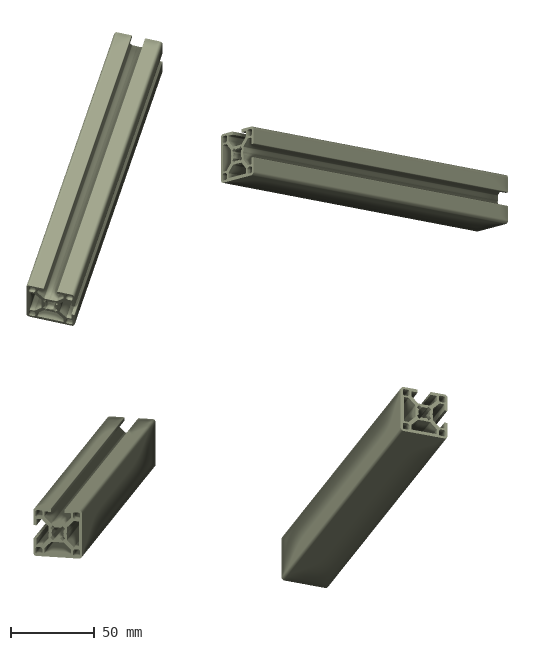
import cadquery as cq
import math

SIDE = 30.0
LENGTH = 200.0
CORNER_RADIUS = 2.0

WALL = 2.0
CHAMBER_HALF_WIDTH = 8.2
CHAMBER_FLOOR_WIDTH = 7.8
CHAMBER_CORNER_RADIUS = 0.5
FLOOR_CORNER_RADIUS = 0.5
CORE_HALF = 5.5

SLOT_OPENING = 8.2
LIP_RADIUS = 0.5

GROOVE_HALF_WIDTH = 0.9
GROOVE_BOTTOM_HALF_WIDTH = 0.3
GROOVE_DEPTH = 0.1

TUBE_INNER = 9.5
TUBE_OUTER = 13.5
TUBE_INNER_RADIUS = 1.5
TUBE_RADIUS = 1.0

BORE_DIAMETER = 7.5
RELIEF_REACH = 4.5
RELIEF_FLAT_START = 3.0
RELIEF_NECK = 1.5

HALF = SIDE / 2
CHAMBER_OUTER = HALF - WALL
BORE_RADIUS = BORE_DIAMETER / 2


def front_plane():
    """Sketch plane on the front end: local x is X and local y is Z."""
    return cq.Workplane("XZ", origin=(0, -LENGTH / 2, 0))


def full_length(sketch):
    """Extrude a front-end sketch toward +Y, against the plane's normal."""
    return sketch.extrude(-LENGTH)


def turned(body, angle):
    """Turn a body about the bar's long axis."""
    return body.rotate((0, 0, 0), (0, 1, 0), angle)


def round_long_edge(body, x, z, radius):
    """Round the lengthwise edge that passes through (x, z)."""
    return body.edges(cq.selectors.NearestToPointSelector((x, 0, z))).fillet(radius)


def chamber():
    """Upper chamber: square shoulders that taper at 45 degrees to the grooved core."""
    floor_half_width = CHAMBER_FLOOR_WIDTH / 2
    shoulder = CORE_HALF + CHAMBER_HALF_WIDTH - floor_half_width
    right_side = [
        (GROOVE_BOTTOM_HALF_WIDTH, CORE_HALF - GROOVE_DEPTH),
        (GROOVE_HALF_WIDTH, CORE_HALF),
        (floor_half_width, CORE_HALF),
        (CHAMBER_HALF_WIDTH, shoulder),
        (CHAMBER_HALF_WIDTH, CHAMBER_OUTER),
    ]
    left_side = [(-x, z) for x, z in reversed(right_side)]
    body = full_length(front_plane().polyline(right_side + left_side).close())
    for side in (-1, 1):
        body = round_long_edge(body, side * CHAMBER_HALF_WIDTH, CHAMBER_OUTER, CHAMBER_CORNER_RADIUS)
        body = round_long_edge(body, side * floor_half_width, CORE_HALF, FLOOR_CORNER_RADIUS)
    return body


def slot_mouth():
    """Opening through the upper wall, flared by the rounding of the lips."""
    half_opening = SLOT_OPENING / 2
    mouth = (
        front_plane()
        .moveTo(-half_opening, CHAMBER_OUTER)
        .lineTo(half_opening, CHAMBER_OUTER)
        .lineTo(half_opening, HALF - LIP_RADIUS)
        .radiusArc((half_opening + LIP_RADIUS, HALF), LIP_RADIUS)
        .lineTo(-half_opening - LIP_RADIUS, HALF)
        .radiusArc((-half_opening, HALF - LIP_RADIUS), LIP_RADIUS)
        .close()
    )
    return full_length(mouth)


def corner_tube():
    """Upper right tube: a square hollow with its corner nearest the core rounded most."""
    size = TUBE_OUTER - TUBE_INNER
    middle = (TUBE_OUTER + TUBE_INNER) / 2
    body = full_length(front_plane().center(middle, middle).rect(size, size))
    body = round_long_edge(body, TUBE_INNER, TUBE_INNER, TUBE_INNER_RADIUS)
    body = round_long_edge(body, TUBE_OUTER, TUBE_OUTER, TUBE_RADIUS)
    body = round_long_edge(body, TUBE_INNER, TUBE_OUTER, TUBE_RADIUS)
    return round_long_edge(body, TUBE_OUTER, TUBE_INNER, TUBE_RADIUS)


def bore_relief():
    """Upper right relief: widens from the bore to a flat across the diagonal."""
    neck_height = math.sqrt(BORE_RADIUS**2 - RELIEF_NECK**2)
    outline = [
        (0, 0),
        (RELIEF_NECK, neck_height),
        (RELIEF_FLAT_START, RELIEF_REACH),
        (RELIEF_REACH, RELIEF_FLAT_START),
        (neck_height, RELIEF_NECK),
    ]
    return full_length(front_plane().polyline(outline).close())


bar = full_length(front_plane().rect(SIDE, SIDE)).edges("|Y").fillet(CORNER_RADIUS)
bar = bar.cut(full_length(front_plane().circle(BORE_RADIUS)))
for quarter in range(4):
    for hollow in (chamber(), corner_tube(), bore_relief()):
        bar = bar.cut(turned(hollow, 90 * quarter))

for angle in (0, 90):
    bar = bar.cut(turned(slot_mouth(), angle))

result = bar